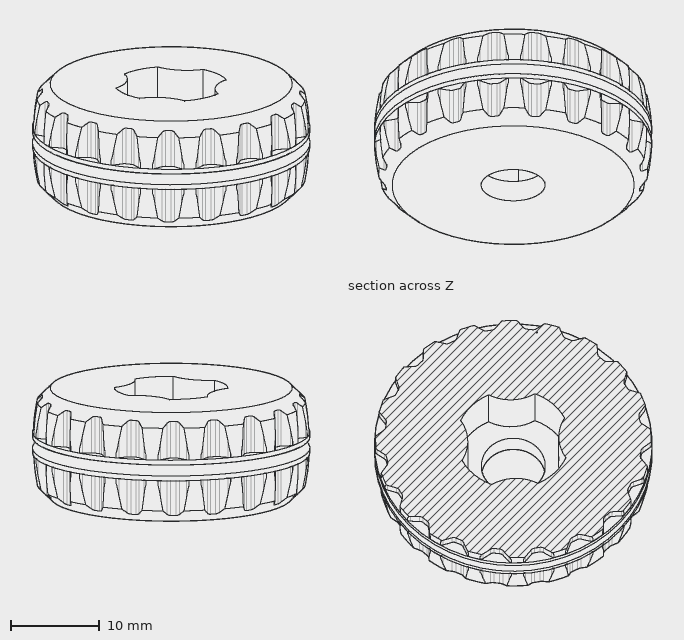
import cadquery as cq
import math

outer_radius = 15.62
height = 12.5
chamfer_size = 1.5
end_face_radius = 13.62
crown_edge_radius = end_face_radius + chamfer_size
crown_edge_z = height / 2 - chamfer_size

band_half_width = 1.2
groove_radius = 0.62

notch_count = 20
notch_floor_radius = 14.47
floor_half_width = 0.3
floor_fillet_radius = 0.55
lip_radius = 0.45
flank_angle = math.radians(43)
lip_start_x = 1.47
cutter_outer_y = 16.25

bore_diameter = 7.2
socket_diameter = 12.75
socket_depth = 10.0
socket_rib_count = 4
socket_rib_start_angle = 45
socket_rib_radius = 5.0
socket_rib_reach = 5.1


def make_body():
    """Crowned, chamfered disc with a plain cylindrical band around its middle."""
    top = height / 2
    body = (
        cq.Workplane("XZ")
        .moveTo(0, -top)
        .lineTo(end_face_radius, -top)
        .lineTo(crown_edge_radius, -crown_edge_z)
        .threePointArc((outer_radius, 0), (crown_edge_radius, crown_edge_z))
        .lineTo(end_face_radius, top)
        .lineTo(0, top)
        .close()
        .revolve(360, (0, 0, 0), (0, 1, 0))
    )
    band = cq.Workplane("XY").circle(outer_radius).extrude(band_half_width, both=True)
    return body.union(band)


def make_groove():
    """Ring of circular section, centred on the rim."""
    return (
        cq.Workplane("XZ")
        .center(outer_radius, 0)
        .circle(groove_radius)
        .revolve(360, (-outer_radius, 0, 0), (-outer_radius, 1, 0))
    )


def arc_offset(radius, angle):
    """Sideways and upward travel along an arc that starts out level and turns by the angle."""
    return radius * math.sin(angle), radius * (1 - math.cos(angle))


def make_notch():
    """Notch cutter on the +Y side: flat floor, filleted corners, straight flanks, rounded lips."""
    fillet_dx, fillet_dy = arc_offset(floor_fillet_radius, flank_angle)
    fillet_mid_dx, fillet_mid_dy = arc_offset(floor_fillet_radius, flank_angle / 2)
    lip_dx, lip_dy = arc_offset(lip_radius, flank_angle)
    lip_mid_dx, lip_mid_dy = arc_offset(lip_radius, flank_angle / 2)

    flank_x = floor_half_width + fillet_dx
    flank_y = notch_floor_radius + fillet_dy
    fillet_mid = (floor_half_width + fillet_mid_dx, notch_floor_radius + fillet_mid_dy)
    lip_start_y = flank_y + (lip_start_x - flank_x) * math.tan(flank_angle)
    crest_x = lip_start_x + lip_dx
    crest_y = lip_start_y + lip_dy
    lip_mid = (crest_x - lip_mid_dx, crest_y - lip_mid_dy)

    half = (
        cq.Workplane("XY", origin=(0, 0, band_half_width))
        .moveTo(0, notch_floor_radius)
        .lineTo(floor_half_width, notch_floor_radius)
        .threePointArc(fillet_mid, (flank_x, flank_y))
        .lineTo(lip_start_x, lip_start_y)
        .threePointArc(lip_mid, (crest_x, crest_y))
        .lineTo(crest_x, cutter_outer_y)
        .lineTo(0, cutter_outer_y)
    )
    return half.mirrorY().extrude(height / 2 - band_half_width)


def make_socket():
    """Round pocket from the top face, narrowed by rounded ribs on the diagonals."""
    floor = cq.Workplane("XY", origin=(0, 0, height / 2 - socket_depth))
    pocket = floor.circle(socket_diameter / 2).extrude(socket_depth)
    ribs = (
        floor.polarArray(
            socket_rib_reach + socket_rib_radius, socket_rib_start_angle, 360, socket_rib_count
        )
        .circle(socket_rib_radius)
        .extrude(socket_depth)
    )
    return pocket.cut(ribs)


result = make_body().cut(make_groove())

upper_notch = make_notch()
lower_notch = upper_notch.mirror("XY")
for index in range(notch_count):
    turn = index * 360 / notch_count
    for notch in (upper_notch, lower_notch):
        result = result.cut(notch.rotate((0, 0, 0), (0, 0, 1), turn))

bore = cq.Workplane("XY").circle(bore_diameter / 2).extrude(height, both=True)
result = result.cut(make_socket()).cut(bore)